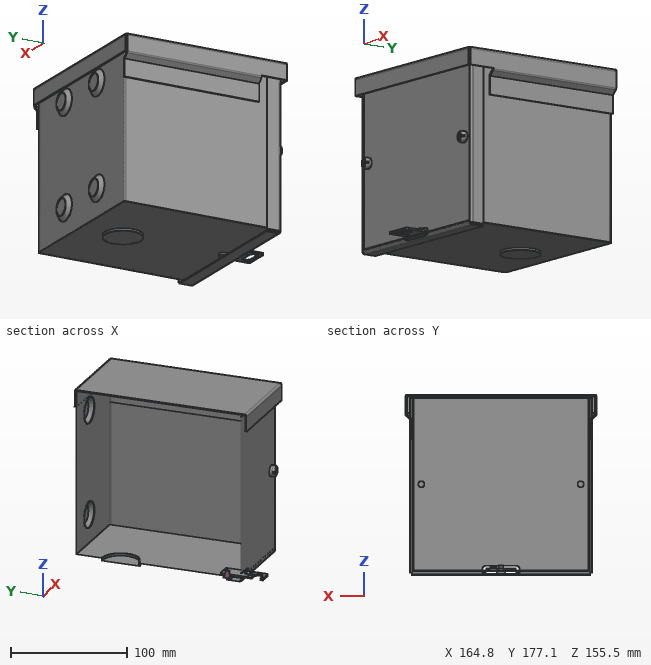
import cadquery as cq
import math


turn_shift = math.tan(math.radians(45 / 2))

lid_width = 164.8
lid_front = -4.6
lid_back = 155.2
lid_top = 155.5
lid_sheet = 1.6
lid_bend = 2.0
lid_notch = 1.5
skirt_bottom = 139.5
fold_z = 138.0
fold_width = 4.8
strip_bottom = 117.0
strip_front = 21.5
fold_bend = 2.1

box_sheet = 0.9
box_front = box_sheet
box_back = lid_back - lid_sheet
box_half = lid_width / 2 - fold_width - lid_sheet
box_bottom = 3.4
box_top = lid_top - lid_sheet
box_bend = 1.6

dimple_x = 28.7
dimple_zs = (30.0, 126.4)
dimple_tip_radius = 8.2
dimple_height = 4.0

knockout_radius = 17.5
knockout_depth = 2.5
knockout_y = 112.4

cover_sheet = 0.9
cover_half = 78.7
cover_depth = 13.8
cover_top = 152.4
cover_bend = 2.1
cover_notch = 2.0

opening_width = 31.9
opening_top = 8.0
opening_radius = 2.8
lip_cut_width = 25.9
lip_cut_bottom = 0.4

hasp_width = 25.5
hasp_sheet = 1.6
hasp_tip = -19.5
hasp_back = 19.5
hasp_corner = 1.6
hasp_bottom = box_bottom + box_sheet
hasp_top = hasp_bottom + hasp_sheet
lock_slot_length = 19.0
lock_slot_width = 8.3
lock_slot_y = -13.1
seal_hole_diameter = 3.7
seal_hole_x = -6.4
seal_hole_y = -4.0
tab_width = 5.8
tab_x = 6.4
tab_front = -6.5
tab_back = -1.5
tab_rise = 2.1
tab_sheet = 0.9

rivet_y = 13.5
rivet_head_diameter = 7.6
rivet_shank_diameter = 4.0
rivet_head_height = 2.0
rivet_shank_above_hasp = 2.7
rivet_top = hasp_top + rivet_shank_above_hasp

screw_x = 68.5
screw_z = 78.3
screw_head_diameter = 10.3
screw_head_height = 4.6
screw_head_round = 2.5
screw_shank_diameter = 5.3
drive_slot_width = 1.5
drive_slot_depth = 1.6
drive_cross_length = 6.4


def block(x0, x1, y0, y1, z0, z1):
    """Box between two opposite corners."""
    return cq.Workplane("XY").box(x1 - x0, y1 - y0, z1 - z0, centered=False).translate((x0, y0, z0))


def make_side_fold():
    """Edge of the lid on the -X side, folded in at 45 degrees and then down along the box."""
    outer = -lid_width / 2
    inner = outer + lid_sheet
    strip_outer = outer + fold_width
    strip_inner = strip_outer + lid_sheet
    corner_shift = lid_sheet * turn_shift
    outline = [
        (outer, skirt_bottom),
        (outer, fold_z),
        (strip_outer, fold_z - fold_width),
        (strip_outer, strip_bottom),
        (strip_inner, strip_bottom),
        (strip_inner, fold_z - fold_width + corner_shift),
        (inner, fold_z + corner_shift),
        (inner, skirt_bottom),
    ]
    fold_back = lid_back - lid_notch
    fold = cq.Workplane("XZ", origin=(0, fold_back, 0)).polyline(outline).close().extrude(fold_back - strip_front)
    outer_bend = cq.selectors.NearestToPointSelector((outer, (strip_front + fold_back) / 2, fold_z))
    return fold.edges(outer_bend).fillet(fold_bend)


def make_lid():
    """Shallow cap with notched corners and a folded drip strip along each side."""
    half = lid_width / 2
    lid = block(-half, half, lid_front, lid_back, skirt_bottom, lid_top)
    lid = lid.faces(">Z").edges().fillet(lid_bend)
    lid = lid.cut(
        block(
            -half + lid_sheet,
            half - lid_sheet,
            lid_front + lid_sheet,
            lid_back - lid_sheet,
            skirt_bottom,
            lid_top - lid_sheet,
        )
    )
    for side in (-1, 1):
        for corner_y in (lid_front, lid_back):
            notch = cq.Workplane("XY").rect(2 * lid_notch, 2 * lid_notch).extrude(lid_top)
            lid = lid.cut(notch.translate((side * half, corner_y, 0)))
    fold = make_side_fold()
    return lid.union(fold).union(fold.mirror("YZ"))


def dimple_cone(tip_radius, base_y, tip_y):
    """45 degree cone frustum that narrows from base_y to tip_y, on the Y axis."""
    base_radius = tip_radius + tip_y - base_y
    outline = [(0, base_y), (base_radius, base_y), (tip_radius, tip_y), (0, tip_y)]
    return cq.Workplane("XY").polyline(outline).close().revolve(360, (0, 0, 0), (0, 1, 0))


def add_dimples(box):
    """Four hollow dimples pressed out of the back wall."""
    tip_y = box_back + dimple_height
    inner_tip_radius = dimple_tip_radius - box_sheet * turn_shift
    outside = dimple_cone(dimple_tip_radius, box_back - box_sheet, tip_y)
    inside = dimple_cone(inner_tip_radius, box_back - box_sheet, tip_y - box_sheet)
    for x in (-dimple_x, dimple_x):
        for z in dimple_zs:
            box = box.union(outside.translate((x, 0, z))).cut(inside.translate((x, 0, z)))
    return box


def add_knockout(box):
    """Round knockout pressed down out of the floor."""
    bottom = box_bottom - knockout_depth
    outside = cq.Workplane("XY", origin=(0, knockout_y, bottom)).circle(knockout_radius).extrude(knockout_depth)
    inside = (
        cq.Workplane("XY", origin=(0, knockout_y, bottom + box_sheet))
        .circle(knockout_radius - box_sheet)
        .extrude(knockout_depth)
    )
    return box.union(outside).cut(inside)


def make_box():
    """Box open at the front and at the top."""
    box = block(-box_half, box_half, box_front, box_back, box_bottom, box_top)
    box = box.edges("|Z and >Y").fillet(box_bend)
    inside = block(
        -box_half + box_sheet,
        box_half - box_sheet,
        box_front,
        box_back - box_sheet,
        box_bottom + box_sheet,
        box_top,
    )
    box = box.cut(inside.edges("|Z and >Y").fillet(box_bend - box_sheet))
    box = add_knockout(add_dimples(box))
    rivet_hole = cq.Workplane("XY", origin=(0, rivet_y, 0)).circle(rivet_shank_diameter / 2).extrude(hasp_bottom)
    return box.cut(rivet_hole)


def make_cover():
    """Front cover with side and bottom flanges, the hasp opening and two screw holes.

    The lower bend is cut off at 45 degrees below the opening.
    """
    cover = block(-cover_half, cover_half, 0, cover_depth, 0, cover_top)
    cover = cover.faces("<Y").edges("|Z or <Z").fillet(cover_bend)
    inner_half = cover_half - cover_sheet
    inside = block(-inner_half, inner_half, cover_sheet, cover_depth, cover_sheet, cover_top)
    inside = inside.faces("<Y").edges("|Z or <Z").fillet(cover_bend - cover_sheet)
    cover = cover.cut(inside)
    for side in (-1, 1):
        corner = cq.Workplane("XZ").rect(2 * cover_notch, 2 * cover_notch).extrude(-cover_depth)
        cover = cover.cut(corner.translate((side * cover_half, 0, 0)))
        cover = cover.cut(
            cq.Workplane("XZ", origin=(side * screw_x, 0, screw_z))
            .circle(screw_shank_diameter / 2)
            .extrude(-cover_sheet)
        )
    half_opening = opening_width / 2
    opening = block(-half_opening, half_opening, 0, cover_bend, cover_bend, opening_top)
    opening = opening.edges("|Y and >Z").fillet(opening_radius)
    lip_outline = [(0, lip_cut_bottom), (cover_bend - lip_cut_bottom, cover_bend), (0, cover_bend)]
    lip_cut = (
        cq.Workplane("YZ", origin=(-lip_cut_width / 2, 0, 0)).polyline(lip_outline).close().extrude(lip_cut_width)
    )
    return cover.cut(opening).cut(lip_cut)


def make_hasp():
    """Flat plate with a padlock slot, a seal hole, a lanced tab and a rivet hole."""
    half = hasp_width / 2
    hasp = block(-half, half, hasp_tip, hasp_back, hasp_bottom, hasp_top)
    hasp = hasp.edges("|Z and <Y").fillet(hasp_corner)
    top = cq.Workplane("XY", origin=(0, 0, hasp_bottom))
    hasp = hasp.cut(top.center(0, lock_slot_y).slot2D(lock_slot_length, lock_slot_width).extrude(hasp_sheet))
    hasp = hasp.cut(top.center(seal_hole_x, seal_hole_y).circle(seal_hole_diameter / 2).extrude(hasp_sheet))
    hasp = hasp.cut(top.center(0, rivet_y).circle(rivet_shank_diameter / 2).extrude(hasp_sheet))
    tab_outline = [
        (tab_front, hasp_top),
        (tab_back - tab_sheet, hasp_top + tab_rise),
        (tab_back, hasp_top + tab_rise - tab_sheet),
        (tab_front + 2 * tab_sheet, hasp_top),
    ]
    tab = (
        cq.Workplane("YZ", origin=(tab_x - tab_width / 2, 0, 0)).polyline(tab_outline).close().extrude(tab_width)
    )
    return hasp.union(tab)


def make_rivet():
    """Rivet that holds the hasp on the floor of the box, with its head below."""
    head_bottom = box_bottom - rivet_head_height
    base = cq.Workplane("XY", origin=(0, rivet_y, head_bottom))
    head = base.circle(rivet_head_diameter / 2).extrude(rivet_head_height)
    return head.union(base.circle(rivet_shank_diameter / 2).extrude(rivet_top - head_bottom))


def make_screw(x):
    """Cover screw with a rounded head, a full slot and a shorter cross slot."""
    base = cq.Workplane("XZ", origin=(x, 0, screw_z))
    head = base.circle(screw_head_diameter / 2).extrude(screw_head_height)
    head = head.faces("<Y").edges().fillet(screw_head_round)
    slots = cq.Workplane("XZ", origin=(x, drive_slot_depth - screw_head_height, screw_z))
    head = head.cut(slots.rect(screw_head_diameter, drive_slot_width).extrude(drive_slot_depth))
    head = head.cut(slots.rect(drive_slot_width, drive_cross_length).extrude(drive_slot_depth))
    return head.union(base.circle(screw_shank_diameter / 2).extrude(-cover_sheet))


box = make_box()
lid = make_lid()
cover = make_cover()
hasp = make_hasp()
rivet = make_rivet()
screws = [make_screw(x) for x in (-screw_x, screw_x)]

result = cq.Compound.makeCompound(
    [box.val(), lid.val(), cover.val(), hasp.val(), rivet.val(), *[screw.val() for screw in screws]]
)